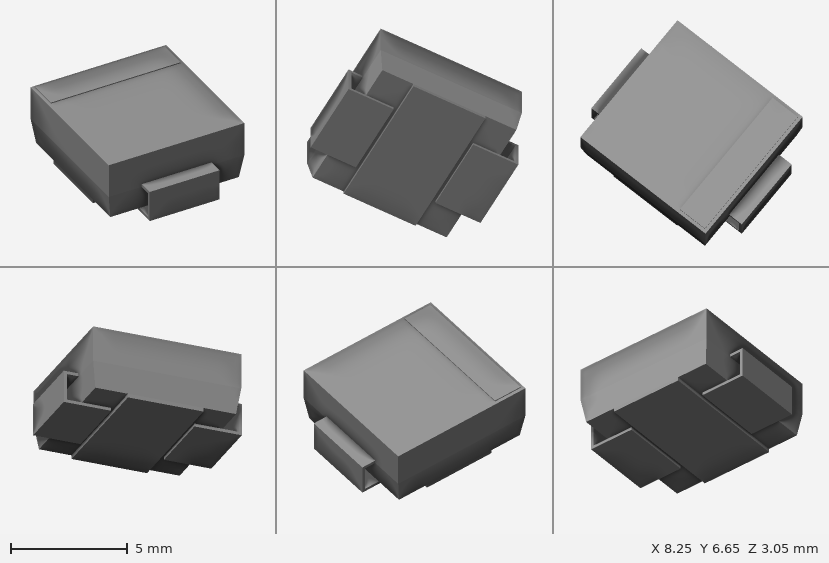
import cadquery as cq

overall_length = 8.25
overall_height = 3.05

housing_length = 6.86
housing_width = 6.65
parting_height = 1.36
standoff = 0.17
taper_inset = 0.17
pad_length = 3.5

marker_thickness = 0.05
marker_margin = 0.15
marker_length = 1.38
marker_width = housing_width - 2 * marker_margin
housing_top = overall_height - marker_thickness

lead_thickness = 0.14
lead_width = 3.415
lead_top = parting_height + lead_thickness
foot_length = 2.195


def make_housing():
    """Straight upper block over a tapered lower half, with a standoff pad below."""
    upper = cq.Workplane("XY").workplane(offset=parting_height).rect(housing_length, housing_width)
    upper = upper.extrude(housing_top - parting_height)

    base_length = housing_length - 2 * taper_inset
    base_width = housing_width - 2 * taper_inset
    lower = cq.Workplane("XY").workplane(offset=standoff).rect(base_length, base_width)
    lower = lower.workplane(offset=parting_height - standoff).rect(housing_length, housing_width)
    lower = lower.loft(ruled=True)

    pad = cq.Workplane("XY").rect(pad_length, base_width).extrude(standoff)
    return upper.union(lower).union(pad)


def make_marker():
    """Thin polarity bar near the -X edge of the top face."""
    marker_x = -housing_length / 2 + marker_margin + marker_length / 2
    marker = cq.Workplane("XY").workplane(offset=housing_top).center(marker_x, 0)
    return marker.rect(marker_length, marker_width).extrude(marker_thickness)


def make_lead(side):
    """C-shaped strip from the housing side to a foot under it; side is -1 or +1 along X."""
    outer_x = side * overall_length / 2
    inner_x = outer_x - side * lead_thickness
    housing_x = side * housing_length / 2
    foot_end_x = outer_x - side * foot_length
    profile = [
        (housing_x, lead_top),
        (outer_x, lead_top),
        (outer_x, 0),
        (foot_end_x, 0),
        (foot_end_x, lead_thickness),
        (inner_x, lead_thickness),
        (inner_x, parting_height),
        (housing_x, parting_height),
    ]
    return cq.Workplane("XZ").polyline(profile).close().extrude(lead_width / 2, both=True)


housing = make_housing()
marker = make_marker()
leads = [make_lead(side) for side in (-1, 1)]

result = cq.Compound.makeCompound([housing.val(), marker.val(), *[lead.val() for lead in leads]])